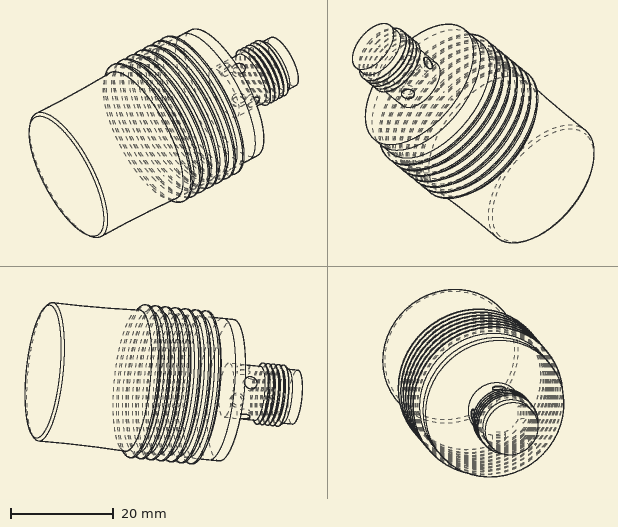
import cadquery as cq
import math


cap_end = 18.05
housing_end = 35.05
collar_end = 37.1
overall_length = 51.0

cap_face_radius = 13.0
cap_front_radius = 13.55
cap_rear_radius = 13.8
cap_chamfer_length = 0.5
cap_hollow_depth = 0.15

barrel_radius = 13.85
housing_ridge_radius = 15.0
housing_ridge_count = 7
housing_first_ridge = 19.3
housing_last_ridge = 31.45
housing_ridge_base = 1.4
housing_ridge_crest = 0.35

neck_radius = 5.3
neck_ridge_radius = 6.0
neck_ridge_count = 5
neck_first_ridge = 43.9
neck_last_ridge = 48.05
neck_ridge_base = 0.95
neck_ridge_crest = 0.1
neck_lead_end = 48.95

window_count = 4
window_radius = 1.3
window_position = 40.55
window_face_distance = 5.1
window_depth = 1.0


def revolve_about_y(profile):
    """Turn a closed (radius, Y) profile a full circle around the Y axis."""
    return profile.close().revolve(360, (0, 0, 0), (0, 1, 0))


def ridge_points(center, base, crest, root_radius, crest_radius):
    """Trapezoid corners of one ridge as (radius, Y), in order of rising Y."""
    return [
        (root_radius, center - base / 2),
        (crest_radius, center - crest / 2),
        (crest_radius, center + crest / 2),
        (root_radius, center + base / 2),
    ]


def ridge_row(first, last, count, base, crest, root_radius, crest_radius):
    """Corners of evenly spaced ridges from the first centre to the last."""
    pitch = (last - first) / (count - 1)
    points = []
    for index in range(count):
        center = first + index * pitch
        points += ridge_points(center, base, crest, root_radius, crest_radius)
    return points


def make_cap():
    middle_radius = (cap_front_radius + cap_rear_radius) / 2 - cap_hollow_depth
    middle_position = (cap_chamfer_length + cap_end) / 2
    profile = (
        cq.Workplane("XY")
        .lineTo(cap_face_radius, 0)
        .lineTo(cap_front_radius, cap_chamfer_length)
        .threePointArc((middle_radius, middle_position), (cap_rear_radius, cap_end))
        .lineTo(0, cap_end)
    )
    return revolve_about_y(profile)


def make_housing():
    ridges = ridge_row(
        housing_first_ridge, housing_last_ridge, housing_ridge_count,
        housing_ridge_base, housing_ridge_crest, barrel_radius, housing_ridge_radius,
    )
    ridges[0] = (barrel_radius, cap_end)
    outline = [(0, cap_end), *ridges, (barrel_radius, housing_end), (0, housing_end)]
    return revolve_about_y(cq.Workplane("XY").polyline(outline))


def make_collar():
    outline = [
        (0, housing_end),
        (barrel_radius, housing_end),
        (barrel_radius, collar_end),
        (0, collar_end),
    ]
    return revolve_about_y(cq.Workplane("XY").polyline(outline))


def window_cylinder(outer_distance, angle):
    """Radial cylinder from the window seat out to the given axis distance."""
    seat_distance = window_face_distance - window_depth
    direction = cq.Vector(math.cos(angle), 0, math.sin(angle))
    seat_center = direction * seat_distance + cq.Vector(0, window_position, 0)
    return cq.Solid.makeCylinder(
        window_radius, outer_distance - seat_distance, seat_center, direction
    )


def make_connector(window_angles):
    ridges = ridge_row(
        neck_first_ridge, neck_last_ridge, neck_ridge_count,
        neck_ridge_base, neck_ridge_crest, neck_radius, neck_ridge_radius,
    )
    ridges[-1] = (neck_radius, neck_lead_end)
    outline = [
        (0, collar_end),
        (neck_radius, collar_end),
        *ridges,
        (neck_radius, overall_length),
        (0, overall_length),
    ]
    connector = revolve_about_y(cq.Workplane("XY").polyline(outline))
    for angle in window_angles:
        connector = connector.cut(cq.Workplane(window_cylinder(neck_ridge_radius, angle)))
    return connector.solids()


window_angles = [2 * math.pi * index / window_count for index in range(window_count)]

cap = make_cap()
housing = make_housing()
collar = make_collar()
connector = make_connector(window_angles)
windows = [window_cylinder(window_face_distance, angle) for angle in window_angles]

result = cq.Compound.makeCompound(
    [cap.val(), housing.val(), collar.val(), connector.val(), *windows]
)